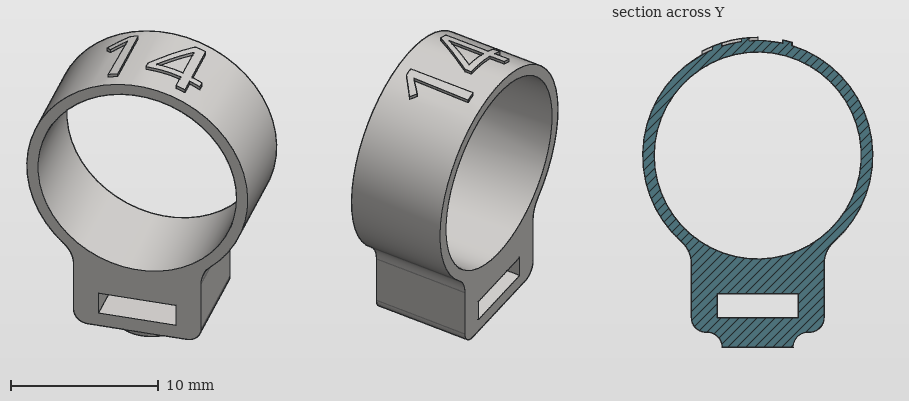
import cadquery as cq
import math

total_height = 21.0
width = 7.0
ring_diameter = 15.6
bore_diameter = 14.0
numeral_height = 0.2

block_length = 9.0
corner_radius = 1.0
neck_radius = 2.0

slot_length = 5.45
slot_height = 1.6
slot_floor = 1.0

foot_diameter = 4.83
flare_radius = 1.0

ring_radius = ring_diameter / 2
numeral_radius = ring_radius + numeral_height
foot_bottom = numeral_radius - total_height
block_bottom = foot_bottom + flare_radius

stroke_bottom = -2.45
bar_top = -0.8
bar_bottom = -1.32
four_stem_left = 2.44
four_stem_right = 3.07
four_left = -0.02
four_right = 3.78
four_top = 2.52
one_right = -1.68
one_top = 2.48

one_outline = [
    (one_right, one_top),
    (one_right, stroke_bottom),
    (-2.35, stroke_bottom),
    (-2.27, 1.87),
    (-3.21, 1.03),
    (-3.57, 1.43),
    (-2.23, one_top),
]
four_outline = [
    (2.35, four_top),
    (four_stem_right, four_top),
    (four_stem_right, bar_top),
    (four_right, bar_top),
    (four_right, bar_bottom),
    (four_stem_right, bar_bottom),
    (four_stem_right, stroke_bottom),
    (four_stem_left, stroke_bottom),
    (four_stem_left, bar_bottom),
    (four_left, bar_bottom),
    (four_left, -0.85),
]
four_window = [
    (four_stem_left, 1.9),
    (four_stem_left, bar_top),
    (0.57, bar_top),
]


def cylinder_along_y(radius):
    return cq.Workplane("XZ", origin=(0, width / 2, 0)).circle(radius).extrude(width)


def make_body():
    """Disc and block, with rounded lower corners and filleted necks."""
    half_length = block_length / 2
    block = cq.Workplane("XY").box(block_length, width, -block_bottom, centered=(True, True, False))
    block = block.translate((0, 0, block_bottom)).edges("|Y and <Z").fillet(corner_radius)
    body = cylinder_along_y(ring_radius).union(block)
    neck_z = -math.sqrt(ring_radius**2 - half_length**2)
    for x in (-half_length, half_length):
        neck_edge = cq.selectors.NearestToPointSelector((x, 0, neck_z))
        body = body.edges("|Y").edges(neck_edge).fillet(neck_radius)
    return body


def make_foot():
    """Revolved foot whose concave side flares out to meet the block."""
    foot_radius = foot_diameter / 2
    flare_outer = foot_radius + flare_radius
    arc_offset = flare_radius * math.sqrt(0.5)
    arc_middle = (flare_outer - arc_offset, foot_bottom + arc_offset)
    profile = (
        cq.Workplane("XZ")
        .moveTo(0, foot_bottom)
        .lineTo(foot_radius, foot_bottom)
        .threePointArc(arc_middle, (flare_outer, block_bottom))
        .lineTo(0, block_bottom)
        .close()
    )
    return profile.revolve(360, (0, 0, 0), (0, 1, 0))


def make_slot():
    slot_middle = block_bottom + slot_floor + slot_height / 2
    return cq.Workplane("XY").box(slot_length, width, slot_height).translate((0, 0, slot_middle))


def make_numerals():
    """Raised 1 and 4, wrapped on the top of the ring."""
    one = cq.Workplane("XY").polyline(one_outline).close().extrude(numeral_radius)
    four = cq.Workplane("XY").polyline(four_outline).close().extrude(numeral_radius)
    window = cq.Workplane("XY").polyline(four_window).close().extrude(numeral_radius)
    return one.union(four.cut(window)).intersect(cylinder_along_y(numeral_radius))


result = (
    make_body()
    .union(make_foot())
    .union(make_numerals())
    .cut(make_slot())
    .cut(cylinder_along_y(bore_diameter / 2))
)